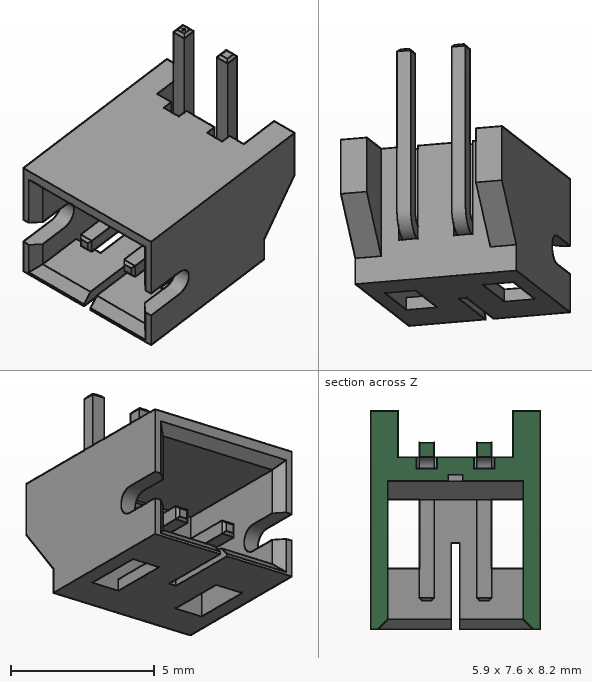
import cadquery as cq


width = 5.9
length = 7.6
height = 4.8
block_length = 5.995
wing_thickness = 0.95
wing_heel_height = 0.93
wing_edge_height = 2.845

side_wall = 0.6
floor_thickness = 0.44
roof_thickness = 0.74
mouth_bevel = 0.345
lower_depth = 4.51
step_bottom = 2.1
step_top = 2.75
upper_depth = lower_depth + step_top - step_bottom
cavity_width = width - 2 * side_wall
cavity_roof = height - roof_thickness

side_slot_height = 1.02
side_slot_length = 2.0
side_slot_z = 1.89
key_slot_width = 0.295
key_slot_length = 3.0
window_front = 2.115
window_inner_x = 1.23
pocket_width = 0.5
pocket_bottom = 3.755
pocket_height = 0.21
relief_width = 0.7
relief_depth = 0.39

pin_pitch = 2.0
pin_size = 0.51
pin_tip_chamfer = 0.1
pin_front = 1.0
pin_axis_z = 1.705
pin_top = 8.2
pin_rear = block_length + pin_size
bend_inner_radius = 0.41
bend_outer_radius = bend_inner_radius + pin_size
mark_diameter = 0.1
mark_depth = 0.1

pin_bottom = pin_axis_z - pin_size / 2
first_pin_x = -pin_pitch / 2


def box(x_min, x_max, y_min, y_max, z_min, z_max):
    size = (x_max - x_min, y_max - y_min, z_max - z_min)
    return cq.Workplane("XY").box(*size, centered=False).translate((x_min, y_min, z_min))


def side_profile(points, profile_width, centre_x=0):
    """Extrude a (Y, Z) outline symmetrically about centre_x."""
    outline = cq.Workplane("YZ").polyline(points).close()
    return outline.extrude(profile_width / 2, both=True).translate((centre_x, 0, 0))


def housing_body():
    body = side_profile(
        [
            (0, 0),
            (block_length, 0),
            (block_length, wing_heel_height),
            (length, wing_edge_height),
            (length, height),
            (0, height),
        ],
        width,
    )
    gap_half_width = width / 2 - wing_thickness
    return body.cut(box(-gap_half_width, gap_half_width, block_length, length, 0, height))


def mating_cavity():
    """Cavity with a sloped step in its rear wall and a bevelled mouth."""
    cavity = side_profile(
        [
            (0, floor_thickness),
            (lower_depth, floor_thickness),
            (lower_depth, step_bottom),
            (upper_depth, step_top),
            (upper_depth, cavity_roof),
            (0, cavity_roof),
        ],
        cavity_width,
    )
    cavity_height = cavity_roof - floor_thickness
    mouth = (
        cq.Workplane("XZ", origin=(0, 0, floor_thickness + cavity_height / 2))
        .rect(cavity_width + 2 * mouth_bevel, cavity_height + 2 * mouth_bevel)
        .workplane(offset=-mouth_bevel)
        .rect(cavity_width, cavity_height)
        .loft(ruled=True)
    )
    return cavity.union(mouth)


def side_slots():
    """Round-ended slot running through both side walls from the mouth."""
    radius = side_slot_height / 2
    straight = side_slot_length - radius
    return (
        cq.Workplane("YZ")
        .moveTo(0, side_slot_z - radius)
        .lineTo(straight, side_slot_z - radius)
        .threePointArc((side_slot_length, side_slot_z), (straight, side_slot_z + radius))
        .lineTo(0, side_slot_z + radius)
        .close()
        .extrude(width / 2, both=True)
    )


def floor_openings():
    """Central key slot and a window beside each side wall."""
    key_slot = box(-key_slot_width / 2, key_slot_width / 2, 0, key_slot_length, 0, floor_thickness)
    window = box(window_inner_x, cavity_width / 2, window_front, lower_depth, 0, floor_thickness)
    return key_slot.union(window).union(window.mirror("YZ"))


def rear_wall_pocket():
    """Wedge pocket in the upper rear wall with a 45 degree roof."""
    return side_profile(
        [
            (upper_depth, pocket_bottom),
            (upper_depth + pocket_height, pocket_bottom),
            (upper_depth, pocket_bottom + pocket_height),
        ],
        pocket_width,
    )


def bend_relief(x):
    """Notch in the block's rear face that clears the bend of a pin."""
    half_width = relief_width / 2
    front = block_length - relief_depth
    return box(x - half_width, x + half_width, front, block_length, pin_bottom, height)


def bent_pin(x):
    """Square pin running back from its tip and bending upward behind the block."""
    blank = side_profile(
        [
            (pin_front, pin_bottom),
            (pin_rear, pin_bottom),
            (pin_rear, pin_top),
            (block_length, pin_top),
            (block_length, pin_bottom + pin_size),
            (pin_front, pin_bottom + pin_size),
        ],
        pin_size,
        x,
    )
    inner_corner = cq.selectors.NearestToPointSelector((x, block_length, pin_bottom + pin_size))
    outer_corner = cq.selectors.NearestToPointSelector((x, pin_rear, pin_bottom))
    pin = blank.edges(inner_corner).fillet(bend_inner_radius)
    pin = pin.edges(outer_corner).fillet(bend_outer_radius)
    return pin.faces("<Y or >Z").chamfer(pin_tip_chamfer)


def first_pin_mark():
    """Small round dimple in the top of the first pin."""
    pin_axis_y = block_length + pin_size / 2
    return (
        cq.Workplane("XY", origin=(first_pin_x, pin_axis_y, pin_top - mark_depth))
        .circle(mark_diameter / 2)
        .extrude(mark_depth)
    )


result = (
    housing_body()
    .cut(mating_cavity())
    .cut(side_slots())
    .cut(floor_openings())
    .cut(rear_wall_pocket())
)
for pin_x in (first_pin_x, -first_pin_x):
    result = result.cut(bend_relief(pin_x)).union(bent_pin(pin_x))
result = result.cut(first_pin_mark())